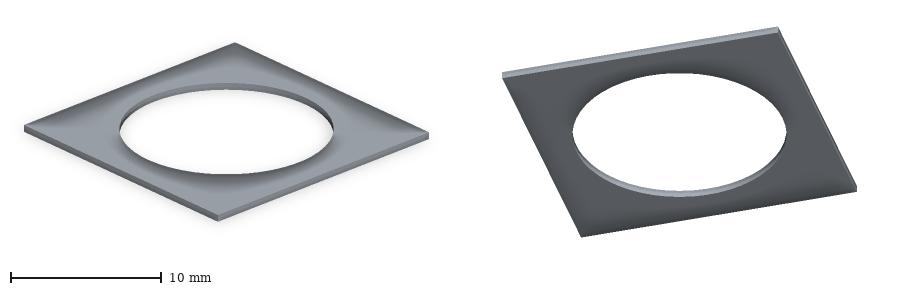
import cadquery as cq

side = 19.05
thickness = 0.5
hole_diameter = 14.23

plate = cq.Workplane("XY").box(side, side, thickness)

result = plate.faces(">Z").workplane().hole(hole_diameter)